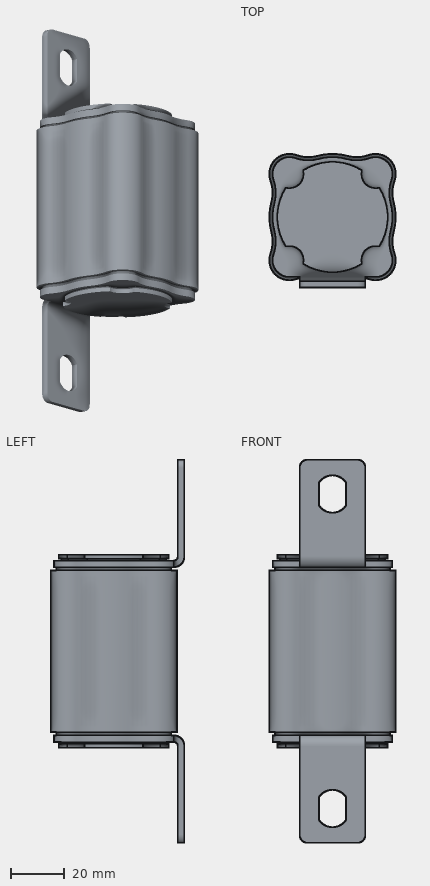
import cadquery as cq
import math

BODY_WIDTH = 47.0
BODY_HEIGHT = 60.0
HALF_WIDTH = BODY_WIDTH / 2
CORNER_RADIUS = 7.5
VALLEY_RADIUS = 13.5
CREST_RADIUS = 21.0

NECK_HEIGHT = 1.2
NECK_INSET = 2.1
PLATE_THICKNESS = 2.5
PLATE_INSET = 1.25
CAP_NECK_HEIGHT = 0.7
CAP_NECK_INSET = 0.9
CAP_THICKNESS = 1.5
CAP_RADIUS = 20.5
CAP_NOTCH_RADIUS = 5.25

TAB_WIDTH = 24.5
TAB_CORNER_RADIUS = 3.0
BEND_INNER_RADIUS = 1.5
OVERALL_HEIGHT = 142.4
SLOT_WIDTH = 10.0
SLOT_LENGTH = 13.8
SLOT_END_RADIUS = 6.0
SLOT_END_DISTANCE = 12.8

BODY_TOP = BODY_HEIGHT / 2
PLATE_BOTTOM = BODY_TOP + NECK_HEIGHT
PLATE_TOP = PLATE_BOTTOM + PLATE_THICKNESS
CAP_BOTTOM = PLATE_TOP + CAP_NECK_HEIGHT
TAB_TOP = OVERALL_HEIGHT / 2

PLATE_FRONT = -(HALF_WIDTH - PLATE_INSET)

CREST_CENTRE = cq.Vector(0, HALF_WIDTH - CREST_RADIUS)
CORNER_CENTRE = cq.Vector(HALF_WIDTH - CORNER_RADIUS, HALF_WIDTH - CORNER_RADIUS)


def find_valley_centre():
    """Centre of the valley arc, tangent from outside to the crest and corner arcs."""
    to_crest = CREST_RADIUS + VALLEY_RADIUS
    to_corner = CORNER_RADIUS + VALLEY_RADIUS
    span = CORNER_CENTRE - CREST_CENTRE
    along = (to_crest**2 - to_corner**2 + span.Length**2) / (2 * span.Length)
    across = math.sqrt(to_crest**2 - along**2)
    direction = span.normalized()
    normal = cq.Vector(-direction.y, direction.x)
    return CREST_CENTRE + direction * along + normal * across


VALLEY_CENTRE = find_valley_centre()


def point_towards(centre, target, radius):
    """Point at the given radius from centre, in the direction of target."""
    return centre + (target - centre).normalized() * radius


def wavy_outline(inset):
    """Closed wavy outline, set in evenly from the body outline."""
    crest = CREST_RADIUS - inset
    valley = VALLEY_RADIUS + inset
    corner = CORNER_RADIUS - inset
    crest_end = point_towards(CREST_CENTRE, VALLEY_CENTRE, crest)
    valley_mid = VALLEY_CENTRE - cq.Vector(0, valley)
    corner_start = point_towards(CORNER_CENTRE, VALLEY_CENTRE, corner)
    corner_mid = CORNER_CENTRE + cq.Vector(1, 1).normalized() * corner
    corner_end = cq.Vector(corner_start.y, corner_start.x)
    crest_mid = cq.Vector(0, HALF_WIDTH - inset)

    def mirrored(point):
        return cq.Vector(-point.x, point.y)

    arcs = (
        (mirrored(valley_mid), mirrored(crest_end)),
        (crest_mid, crest_end),
        (valley_mid, corner_start),
        (corner_mid, corner_end),
    )
    start = mirrored(corner_start)
    outline = cq.Workplane("XY").moveTo(start.x, start.y)
    for side in range(4):
        turned = cq.Plane.XY().rotated((0, 0, -90 * side))
        for middle, end in arcs:
            turned_middle = turned.toWorldCoords(middle.toTuple())
            turned_end = turned.toWorldCoords(end.toTuple())
            outline = outline.threePointArc(turned_middle, turned_end)
    return outline.close()


def wavy_block(inset, bottom, height):
    """Prism with the wavy outline, standing on the level bottom."""
    return wavy_outline(inset).extrude(height).translate((0, 0, bottom))


def make_plate():
    """Terminal plate: wavy on three sides, straight along the front."""
    plate = wavy_block(PLATE_INSET, PLATE_BOTTOM, PLATE_THICKNESS)
    depth = -PLATE_FRONT - CORNER_CENTRE.y
    front_strip = (
        cq.Workplane("XY")
        .box(2 * CORNER_CENTRE.x, depth, PLATE_THICKNESS, centered=(True, False, False))
        .translate((0, PLATE_FRONT, PLATE_BOTTOM))
    )
    return plate.union(front_strip)


def make_slot_cutter():
    """Slot through the tab, with straight sides and shallow arc ends."""
    half_width = SLOT_WIDTH / 2
    half_length = SLOT_LENGTH / 2
    end_height = SLOT_END_RADIUS - math.sqrt(SLOT_END_RADIUS**2 - half_width**2)
    half_straight = half_length - end_height
    return (
        cq.Workplane("XZ", origin=(0, 0, TAB_TOP - SLOT_END_DISTANCE))
        .moveTo(-half_width, -half_straight)
        .lineTo(-half_width, half_straight)
        .threePointArc((0, half_length), (half_width, half_straight))
        .lineTo(half_width, -half_straight)
        .threePointArc((0, -half_length), (-half_width, -half_straight))
        .close()
        .extrude(BODY_WIDTH)
    )


def make_tab():
    """L-shaped tab: a foot inside the plate, a bend and an upright blade with a slot."""
    outer_radius = BEND_INNER_RADIUS + PLATE_THICKNESS
    inner_face = PLATE_FRONT - BEND_INNER_RADIUS
    outer_face = PLATE_FRONT - outer_radius
    bend_top = PLATE_TOP + BEND_INNER_RADIUS
    diagonal = math.sqrt(0.5)
    foot_end = -CORNER_CENTRE.y
    tab = (
        cq.Workplane("YZ")
        .moveTo(foot_end, PLATE_BOTTOM)
        .lineTo(PLATE_FRONT, PLATE_BOTTOM)
        .threePointArc(
            (PLATE_FRONT - outer_radius * diagonal, bend_top - outer_radius * diagonal),
            (outer_face, bend_top),
        )
        .lineTo(outer_face, TAB_TOP)
        .lineTo(inner_face, TAB_TOP)
        .lineTo(inner_face, bend_top)
        .threePointArc(
            (PLATE_FRONT - BEND_INNER_RADIUS * diagonal, bend_top - BEND_INNER_RADIUS * diagonal),
            (PLATE_FRONT, PLATE_TOP),
        )
        .lineTo(foot_end, PLATE_TOP)
        .close()
        .extrude(TAB_WIDTH / 2, both=True)
    )
    tab = tab.faces(">Z").edges("|Y").fillet(TAB_CORNER_RADIUS)
    return tab.cut(make_slot_cutter())


def notched_disc(inset, bottom, height):
    """Round disc with four round notches, centred on the body corner arcs."""
    corners = [(x * CORNER_CENTRE.x, y * CORNER_CENTRE.y) for x in (-1, 1) for y in (-1, 1)]
    notches = cq.Workplane("XY").pushPoints(corners).circle(CAP_NOTCH_RADIUS + inset).extrude(height)
    disc = cq.Workplane("XY").circle(CAP_RADIUS - inset).extrude(height)
    return disc.cut(notches).translate((0, 0, bottom))


def make_upper_end():
    """Everything stacked on top of the body."""
    neck = wavy_block(NECK_INSET, BODY_TOP, NECK_HEIGHT)
    cap_neck = notched_disc(CAP_NECK_INSET, PLATE_TOP, CAP_NECK_HEIGHT)
    cap = notched_disc(0, CAP_BOTTOM, CAP_THICKNESS)
    return neck.union(make_plate()).union(make_tab()).union(cap_neck).union(cap)


body = wavy_block(0, -BODY_TOP, BODY_HEIGHT)
upper_end = make_upper_end()
lower_end = upper_end.mirror("XY")
result = body.union(upper_end).union(lower_end)